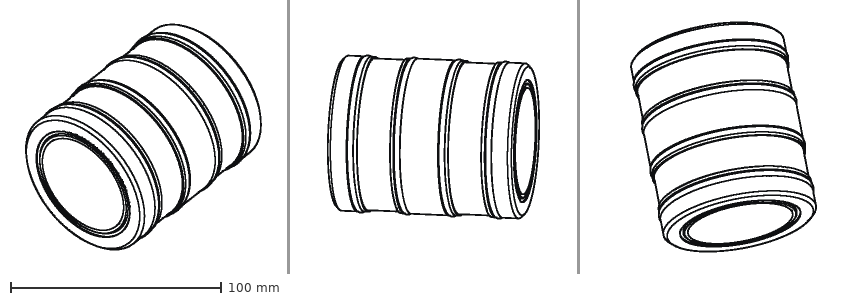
import cadquery as cq

LENGTH = 88.9
HALF_LENGTH = LENGTH / 2
BODY_RADIUS = 37.0
CHAMFER = 1.6
BORE_RADIUS = 25.3

FACE_GROOVE_RADIUS = 29.2
FACE_GROOVE_DEPTH = 0.6
COLLAR_BASE_RADIUS = 27.6
COLLAR_RIM_RADIUS = 26.9

RELIEF_RADIUS = 36.2
RELIEF_WIDTH = 16.0
RELIEF_CENTER = 22.05

RING_SECTION_RADIUS = 1.3
RING_OUTER_DIAMETER = 74.9
RING_OUTER_RADIUS = RING_OUTER_DIAMETER / 2
RING_PATH_RADIUS = RING_OUTER_RADIUS - RING_SECTION_RADIUS
GROOVE_FLOOR_RADIUS = RING_PATH_RADIUS - RING_SECTION_RADIUS
GROOVE_WIDTH = 3.4
OUTER_RING_CENTER = HALF_LENGTH - 11.0
INNER_RING_CENTER = HALF_LENGTH - 33.6


def band(inner_radius, outer_radius, center, width):
    """Annular band around the Y axis, centered at the given Y."""
    return (
        cq.Workplane("XZ", origin=(0, center + width / 2, 0))
        .circle(outer_radius)
        .circle(inner_radius)
        .extrude(width)
    )


def face_groove():
    """Cutter for the face groove around the bore collar at the +Y end."""
    floor_y = HALF_LENGTH - FACE_GROOVE_DEPTH
    return (
        cq.Workplane("XY")
        .moveTo(COLLAR_RIM_RADIUS, HALF_LENGTH)
        .lineTo(FACE_GROOVE_RADIUS, HALF_LENGTH)
        .lineTo(FACE_GROOVE_RADIUS, floor_y)
        .lineTo(COLLAR_BASE_RADIUS, floor_y)
        .close()
        .revolve(360, (0, 0, 0), (0, 1, 0))
    )


def make_sleeve():
    """Bored sleeve with chamfered ends, relief bands and ring grooves."""
    sleeve = cq.Workplane("XZ", origin=(0, HALF_LENGTH, 0)).circle(BODY_RADIUS).extrude(LENGTH)
    sleeve = sleeve.faces("<Y or >Y").edges().chamfer(CHAMFER)
    bore = cq.Workplane("XZ", origin=(0, HALF_LENGTH, 0)).circle(BORE_RADIUS).extrude(LENGTH)
    sleeve = sleeve.cut(bore)

    end_groove = face_groove()
    sleeve = sleeve.cut(end_groove).cut(end_groove.mirror("XZ"))

    for side in (-1, 1):
        relief = band(RELIEF_RADIUS, RING_OUTER_RADIUS, side * RELIEF_CENTER, RELIEF_WIDTH)
        sleeve = sleeve.cut(relief)
        for center in (OUTER_RING_CENTER, INNER_RING_CENTER):
            groove = band(GROOVE_FLOOR_RADIUS, RING_OUTER_RADIUS, side * center, GROOVE_WIDTH)
            sleeve = sleeve.cut(groove)
    return sleeve


def make_ring(center):
    """Round-section sealing ring centered at the given Y."""
    return (
        cq.Workplane("XY")
        .center(RING_PATH_RADIUS, center)
        .circle(RING_SECTION_RADIUS)
        .revolve(360, (-RING_PATH_RADIUS, 0, 0), (-RING_PATH_RADIUS, 1, 0))
    )


sleeve = make_sleeve()
rings = [
    make_ring(side * center)
    for side in (-1, 1)
    for center in (OUTER_RING_CENTER, INNER_RING_CENTER)
]

result = cq.Compound.makeCompound([sleeve.val(), *[ring.val() for ring in rings]])